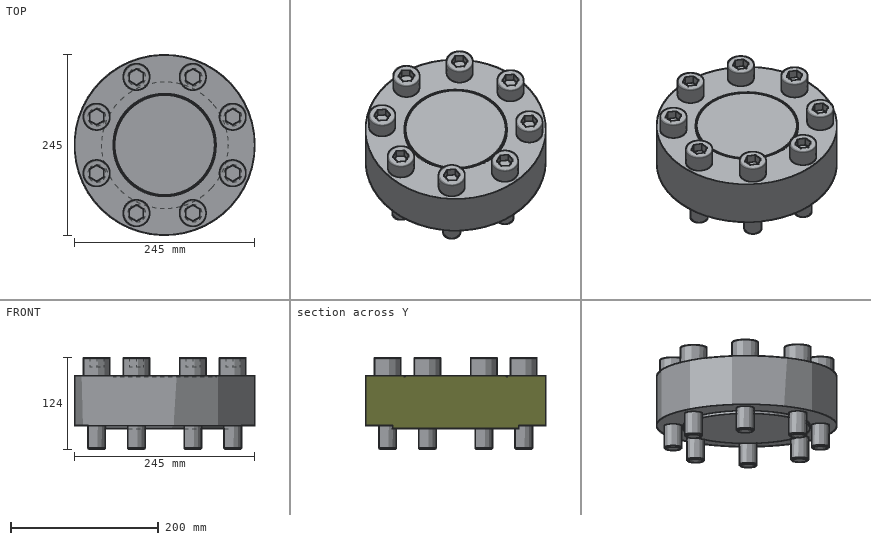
import cadquery as cq
import math

flange_diameter = 245.0
flange_thickness = 68.0

face_diameter = 172.0
face_height = 4.0

groove_outer_diameter = 139.7
groove_width = 2.0
groove_depth = groove_width

screw_count = 8
bolt_circle_diameter = 200.0
screw_diameter = 24.0
screw_length = 100.0
tip_chamfer = 1.84
head_diameter = 1.5 * screw_diameter
head_height = screw_diameter
head_fillet = 1.0

hexagon_sides = 6
socket_width = 19.0
socket_depth = 0.5 * screw_diameter

screw_spacing_angle = 360.0 / screw_count
first_screw_angle = screw_spacing_angle / 2


def make_flange():
    """Round flange with its top on z = 0 and a raised face underneath."""
    disc = cq.Workplane("XY").circle(flange_diameter / 2).extrude(-flange_thickness)
    face = (
        cq.Workplane("XY")
        .workplane(offset=-flange_thickness)
        .circle(face_diameter / 2)
        .extrude(-face_height)
    )
    return disc.union(face)


def make_groove_cutter():
    """Ring with a vertical outer wall and an inner wall sloping up to the top face."""
    outer = groove_outer_diameter / 2
    inner = outer - groove_width
    section = [(inner, 0), (outer, 0), (outer, -groove_depth)]
    return cq.Workplane("XZ").polyline(section).close().revolve(360, (0, 0), (0, 1))


def make_socket_cutter():
    """Hexagonal prism below the head top, with two flats facing -X and +X."""
    half_side_angle = 180.0 / hexagon_sides
    width_across_corners = socket_width / math.cos(math.radians(half_side_angle))
    return (
        cq.Workplane("XY")
        .workplane(offset=head_height)
        .polygon(hexagon_sides, width_across_corners)
        .extrude(-socket_depth)
        .rotate((0, 0, 0), (0, 0, 1), half_side_angle)
    )


def make_screw():
    """Cap screw on the Z axis with the underside of its head on z = 0."""
    shank_radius = screw_diameter / 2
    head_radius = head_diameter / 2
    body = (
        cq.Workplane("XZ")
        .moveTo(0, -screw_length)
        .lineTo(shank_radius - tip_chamfer, -screw_length)
        .lineTo(shank_radius, -screw_length + tip_chamfer)
        .lineTo(shank_radius, 0)
        .lineTo(head_radius, 0)
        .lineTo(head_radius, head_height - head_fillet)
        .radiusArc((head_radius - head_fillet, head_height), -head_fillet)
        .lineTo(0, head_height)
        .close()
        .revolve(360, (0, 0), (0, 1))
    )
    return body.cut(make_socket_cutter())


def add_screws(flange):
    """Join the screws to the flange, evenly spaced on the bolt circle."""
    screw = make_screw()
    for index in range(screw_count):
        angle = math.radians(first_screw_angle + index * screw_spacing_angle)
        x = bolt_circle_diameter / 2 * math.cos(angle)
        y = bolt_circle_diameter / 2 * math.sin(angle)
        flange = flange.union(screw.translate((x, y, 0)))
    return flange


result = add_screws(make_flange().cut(make_groove_cutter()))